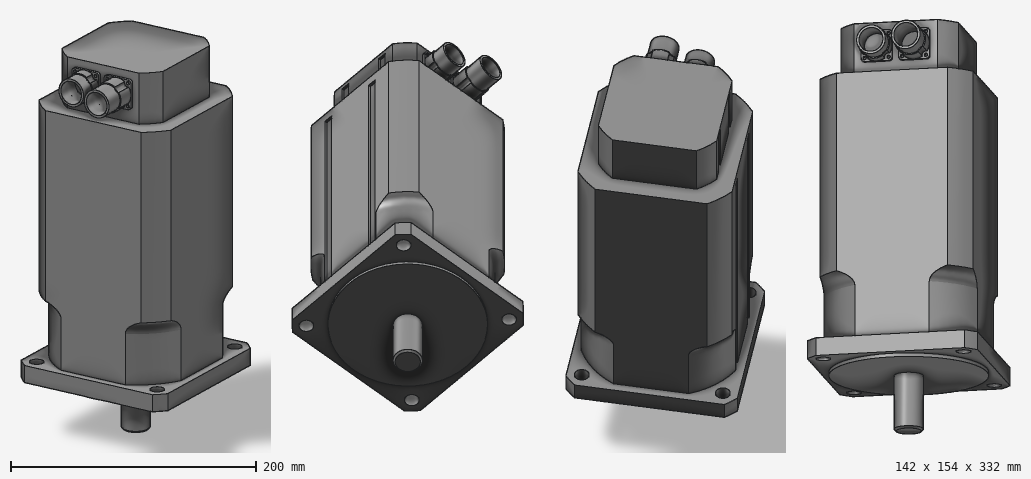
import cadquery as cq


overall_depth = 154.0

flange_side = 142.0
flange_thickness = 15.0
flange_corner_diameter = 188.5
bolt_hole_diameter = 12.0
bolt_hole_spacing = 117.0
pilot_diameter = 130.0
pilot_height = 3.0
shaft_diameter = 24.0
shaft_length = 46.5
shaft_chamfer = 1.5

body_side = 127.8
body_corner_radius = 79.0
body_top = 238.0
relief_radius = 71.0
relief_straight_top = 59.0
relief_top = 72.0

cap_side = 98.0
cap_corner_diameter = 120.2
cap_top = 282.5

groove_depth = 2.0
body_groove_width = 8.0
body_groove_spacing = 52.0
body_groove_top_gap = 9.0
cap_groove_width = 7.5
cap_groove_spacing = 43.8
cap_groove_top_gap = 4.3

connector_spacing = 31.2
connector_height = cap_top - 20.0
plate_side = 26.0
plate_corner_radius = 3.0
plate_thickness = 2.5
screw_hole_diameter = 2.7
screw_hole_spacing = plate_side - 2 * plate_corner_radius
screw_clearance_diameter = 6.3
collar_diameter = 26.0
barrel_diameter = 24.0
bore_diameter = 20.0
short_collar_end = 11.5
short_barrel_end = 24.0
long_collar_end = 17.5
long_barrel_end = overall_depth - (flange_side + cap_side) / 2


def square_with_round_corners(side, corner_diameter, bottom, top):
    """Square prism whose corners are trimmed by a cylinder around the motor axis."""
    height = top - bottom
    prism = cq.Workplane("XY").workplane(offset=bottom).rect(side, side).extrude(height)
    trim = cq.Workplane("XY").workplane(offset=bottom).circle(corner_diameter / 2).extrude(height)
    return prism.intersect(trim)


def make_flange():
    flange = square_with_round_corners(flange_side, flange_corner_diameter, 0, flange_thickness)
    bolt_holes = (
        cq.Workplane("XY")
        .rect(bolt_hole_spacing, bolt_hole_spacing, forConstruction=True)
        .vertices()
        .circle(bolt_hole_diameter / 2)
        .extrude(flange_thickness)
    )
    return flange.cut(bolt_holes)


def make_pilot_and_shaft():
    pilot = cq.Workplane("XY").circle(pilot_diameter / 2).extrude(-pilot_height)
    shaft = (
        cq.Workplane("XY")
        .circle(shaft_diameter / 2)
        .extrude(-(pilot_height + shaft_length))
        .faces("<Z")
        .chamfer(shaft_chamfer)
    )
    return pilot.union(shaft)


def make_motor_body():
    """Square prism with rounded corners, set back above the bolt holes by a coved relief."""
    prism = (
        cq.Workplane("XY")
        .workplane(offset=flange_thickness)
        .rect(body_side, body_side)
        .extrude(body_top - flange_thickness)
    )
    corner_trim = (
        cq.Workplane("XZ")
        .moveTo(0, flange_thickness)
        .lineTo(relief_radius, flange_thickness)
        .lineTo(relief_radius, relief_straight_top)
        .tangentArcPoint((body_corner_radius, relief_top), relative=False)
        .lineTo(body_corner_radius, body_top)
        .lineTo(0, body_top)
        .close()
        .revolve(360, (0, 0, 0), (0, 1, 0))
    )
    return prism.intersect(corner_trim)


def make_groove_pair(face_side, width, spacing, bottom, top):
    """Two upright bars that cut grooves into the -X face of a square block."""
    return (
        cq.Workplane("YZ")
        .workplane(offset=-face_side / 2)
        .pushPoints([(side * spacing / 2, (bottom + top) / 2) for side in (-1, 1)])
        .rect(width, top - bottom)
        .extrude(groove_depth)
    )


def make_motor():
    cap = square_with_round_corners(cap_side, cap_corner_diameter, body_top, cap_top)
    body_grooves = make_groove_pair(
        body_side, body_groove_width, body_groove_spacing,
        flange_thickness, body_top - body_groove_top_gap,
    )
    cap_grooves = make_groove_pair(
        cap_side, cap_groove_width, cap_groove_spacing,
        body_top, cap_top - cap_groove_top_gap,
    )
    body = make_motor_body().cut(body_grooves)
    return make_flange().union(make_pilot_and_shaft()).union(body).union(cap.cut(cap_grooves))


def make_connector(x, collar_end, barrel_end):
    """Connector standing out from the cap along -Y; ends are distances from the cap face."""
    face = cq.Workplane("XZ", origin=(x, -cap_side / 2, connector_height))
    front = face.workplane(offset=plate_thickness)
    plate = (
        face.rect(plate_side, plate_side)
        .extrude(plate_thickness)
        .edges("|Y")
        .fillet(plate_corner_radius)
    )
    collar = front.circle(collar_diameter / 2).extrude(collar_end - plate_thickness)
    barrel = front.circle(barrel_diameter / 2).extrude(barrel_end - plate_thickness)
    bore = front.circle(bore_diameter / 2).extrude(barrel_end - plate_thickness)
    screw_holes = (
        face.rect(screw_hole_spacing, screw_hole_spacing, forConstruction=True)
        .vertices()
        .circle(screw_hole_diameter / 2)
        .extrude(plate_thickness)
    )
    clearances = (
        front.rect(screw_hole_spacing, screw_hole_spacing, forConstruction=True)
        .vertices()
        .circle(screw_clearance_diameter / 2)
        .extrude(collar_end - plate_thickness)
    )
    shell = collar.union(barrel).cut(clearances).cut(bore)
    return plate.cut(screw_holes).union(shell)


motor = make_motor()
connectors = [
    make_connector(x, collar_end, barrel_end)
    for x, collar_end, barrel_end in (
        (-connector_spacing / 2, short_collar_end, short_barrel_end),
        (connector_spacing / 2, long_collar_end, long_barrel_end),
    )
]

result = cq.Compound.makeCompound([motor.val(), *[connector.val() for connector in connectors]])